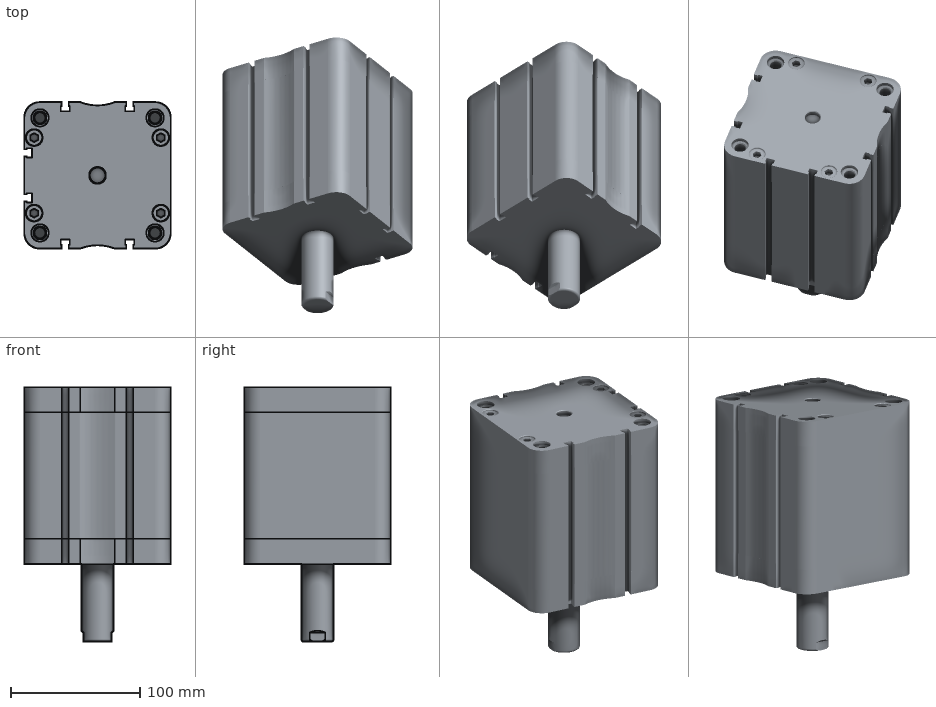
import cadquery as cq
import math


WIDTH = 113.5
HALF_WIDTH = WIDTH / 2
HOLE_PITCH = 89.0
CORNER_RADIUS = (WIDTH - HOLE_PITCH) / 2
GROOVE_WIDTH = 27.0
GROOVE_DEPTH = 2.6

SLOT_MOUTH_WIDTH = 5.3
SLOT_INNER_WIDTH = 6.8
Y_FACE_SLOT_OFFSET = 25.0
Y_FACE_SLOT_DEPTH = 7.0
Y_FACE_SLOT_LIP = 3.2
X_FACE_SLOT_OFFSET = 17.4
X_FACE_SLOT_DEPTH = 6.0
X_FACE_SLOT_LIP = 2.2

SLOT_EDGE_RADIUS = 0.4
GROOVE_EDGE_RADIUS = 2.0
EDGE_TOLERANCE = 0.1

BODY_LENGTH = 137.0
COVER_LENGTH = 19.5
TUBE_LENGTH = BODY_LENGTH - 2 * COVER_LENGTH

COUNTERBORE_DIAMETER = 13.5
COUNTERBORE_DEPTH = 3.0
THREAD_DIAMETER = 8.57
THREAD_MOUTH_DIAMETER = 10.11

SCREW_X = 49.0
SCREW_Y = 29.2
RECESS_DIAMETER = 12.4
RECESS_MOUTH_DIAMETER = 13.1
RECESS_DEPTH = 1.0
SOCKET_ACROSS_FLATS = 6.0
SOCKET_DEPTH = 5.0

CENTRE_DIAMETER = 12.0
CENTRE_MOUTH_DIAMETER = 13.1
CENTRE_DEPTH = 4.0

ROD_DIAMETER = 25.0
ROD_PROJECTION = 60.0
ROD_TIP_RADIUS = 2.0
FLATS_WIDTH = 22.0
FLATS_LENGTH = 7.0


def t_slot(depth, lip):
    """Plan outline of a slot that opens through a face at Y = 0 and runs towards -Y."""
    mouth = cq.Sketch().push([(0, -depth / 2)]).rect(SLOT_MOUTH_WIDTH, depth)
    return mouth.reset().push([(0, -(depth + lip) / 2)]).rect(SLOT_INNER_WIDTH, depth - lip)


def slot_cutter(depth, lip, offset, face_angle, length):
    """Slot on the face whose outward normal is +Y turned by face_angle about Z."""
    cutter = cq.Workplane("XY").placeSketch(t_slot(depth, lip)).extrude(length)
    return cutter.translate((offset, HALF_WIDTH, 0)).rotate((0, 0, 0), (0, 0, 1), face_angle)


def groove_cutter(face_side, length):
    """Circular-segment groove on the +Y (face_side = 1) or -Y (face_side = -1) face."""
    face_y = face_side * HALF_WIDTH
    floor_y = face_side * (HALF_WIDTH - GROOVE_DEPTH)
    return (
        cq.Workplane("XY")
        .moveTo(-GROOVE_WIDTH / 2, face_y)
        .threePointArc((0, floor_y), (GROOVE_WIDTH / 2, face_y))
        .close()
        .extrude(length)
    )


def body_section(base_z, length):
    """Length of the outer profile shared by the tube and both covers."""
    section = cq.Workplane("XY").rect(WIDTH, WIDTH).extrude(length).edges("|Z").fillet(CORNER_RADIUS)
    for side in (-1, 1):
        section = section.cut(groove_cutter(side, length))
        for face_angle in (0, 180):
            offset = side * Y_FACE_SLOT_OFFSET
            section = section.cut(
                slot_cutter(Y_FACE_SLOT_DEPTH, Y_FACE_SLOT_LIP, offset, face_angle, length)
            )
        section = section.cut(
            slot_cutter(X_FACE_SLOT_DEPTH, X_FACE_SLOT_LIP, side * X_FACE_SLOT_OFFSET, 90, length)
        )
    return section.translate((0, 0, base_z))


def chamfered_hole(x, y, top_z, depth, diameter, mouth_diameter):
    """Cutter for a hole down from top_z with a 45 degree chamfer at its mouth."""
    chamfer = (mouth_diameter - diameter) / 2
    hole = cq.Workplane("XY").circle(diameter / 2).extrude(-depth)
    mouth = cq.Workplane("XY").circle(mouth_diameter / 2).extrude(-chamfer, taper=45)
    return hole.union(mouth).translate((x, y, top_z))


def mounting_hole(x, y):
    """Counterbored corner hole whose threaded part runs through the cover."""
    ledge_z = BODY_LENGTH - COUNTERBORE_DEPTH
    counterbore = (
        cq.Workplane("XY", origin=(x, y, ledge_z))
        .circle(COUNTERBORE_DIAMETER / 2)
        .extrude(COUNTERBORE_DEPTH)
    )
    thread_depth = COVER_LENGTH - COUNTERBORE_DEPTH
    thread = chamfered_hole(x, y, ledge_z, thread_depth, THREAD_DIAMETER, THREAD_MOUTH_DIAMETER)
    return counterbore.union(thread)


def screw_recess(x, y):
    """Shallow round recess down to a screw head, with its hexagon socket (corners along Y)."""
    recess = chamfered_hole(x, y, BODY_LENGTH, RECESS_DEPTH, RECESS_DIAMETER, RECESS_MOUTH_DIAMETER)
    socket = (
        cq.Workplane("XY")
        .polygon(6, SOCKET_ACROSS_FLATS / math.cos(math.pi / 6))
        .extrude(-SOCKET_DEPTH)
        .rotate((0, 0, 0), (0, 0, 1), 90)
        .translate((x, y, BODY_LENGTH - RECESS_DEPTH))
    )
    return recess.union(socket)


def edge_zone(x, y):
    """Selector for the lengthwise edge of the body at (x, y)."""
    return cq.selectors.BoxSelector(
        (x - EDGE_TOLERANCE, y - EDGE_TOLERANCE, 0),
        (x + EDGE_TOLERANCE, y + EDGE_TOLERANCE, BODY_LENGTH),
    )


def slot_mouth_edges(slot_offset):
    """Positions along a face of all the mouth edges of its two slots."""
    half_mouth = SLOT_MOUTH_WIDTH / 2
    return [side * slot_offset + edge for side in (-1, 1) for edge in (-half_mouth, half_mouth)]


def build_tube():
    """Slotted tube, with the outer edges of its slots and grooves rounded."""
    tube = body_section(COVER_LENGTH, TUBE_LENGTH)
    for y in (-HALF_WIDTH, HALF_WIDTH):
        for x in (-GROOVE_WIDTH / 2, GROOVE_WIDTH / 2):
            tube = tube.edges(edge_zone(x, y)).fillet(GROOVE_EDGE_RADIUS)
        for x in slot_mouth_edges(Y_FACE_SLOT_OFFSET):
            tube = tube.edges(edge_zone(x, y)).fillet(SLOT_EDGE_RADIUS)
    for y in slot_mouth_edges(X_FACE_SLOT_OFFSET):
        tube = tube.edges(edge_zone(-HALF_WIDTH, y)).fillet(SLOT_EDGE_RADIUS)
    return tube


def build_rod_cover():
    """Lower cover, bored through for the piston rod."""
    cover = body_section(0, COVER_LENGTH)
    return cover.cut(cq.Workplane("XY").circle(ROD_DIAMETER / 2).extrude(COVER_LENGTH))


def build_rear_cover():
    """Upper cover with mounting holes, screw heads and a centring hole."""
    cover = body_section(BODY_LENGTH - COVER_LENGTH, COVER_LENGTH)
    for x_side in (-1, 1):
        for y_side in (-1, 1):
            cover = cover.cut(mounting_hole(x_side * HOLE_PITCH / 2, y_side * HOLE_PITCH / 2))
            cover = cover.cut(screw_recess(x_side * SCREW_X, y_side * SCREW_Y))
    return cover.cut(
        chamfered_hole(0, 0, BODY_LENGTH, CENTRE_DEPTH, CENTRE_DIAMETER, CENTRE_MOUTH_DIAMETER)
    )


def build_rod():
    """Piston rod from the tube down through the cover, with a rounded tip and two wrench flats."""
    radius = ROD_DIAMETER / 2
    rod = (
        cq.Workplane("XY", origin=(0, 0, -ROD_PROJECTION))
        .circle(radius)
        .extrude(ROD_PROJECTION + COVER_LENGTH)
        .faces("<Z")
        .fillet(ROD_TIP_RADIUS)
    )
    flat_depth = radius - FLATS_WIDTH / 2
    flat_top = -ROD_PROJECTION + FLATS_LENGTH
    flat = (
        cq.Workplane("XZ")
        .moveTo(radius, -ROD_PROJECTION)
        .lineTo(radius - flat_depth, -ROD_PROJECTION)
        .lineTo(radius - flat_depth, flat_top)
        .lineTo(radius, flat_top + flat_depth)
        .close()
        .extrude(radius, both=True)
    )
    return rod.cut(flat).cut(flat.mirror("YZ"))


tube = build_tube()
rod_cover = build_rod_cover()
rear_cover = build_rear_cover()
rod = build_rod()

result = cq.Compound.makeCompound([tube.val(), rod_cover.val(), rear_cover.val(), rod.val()])